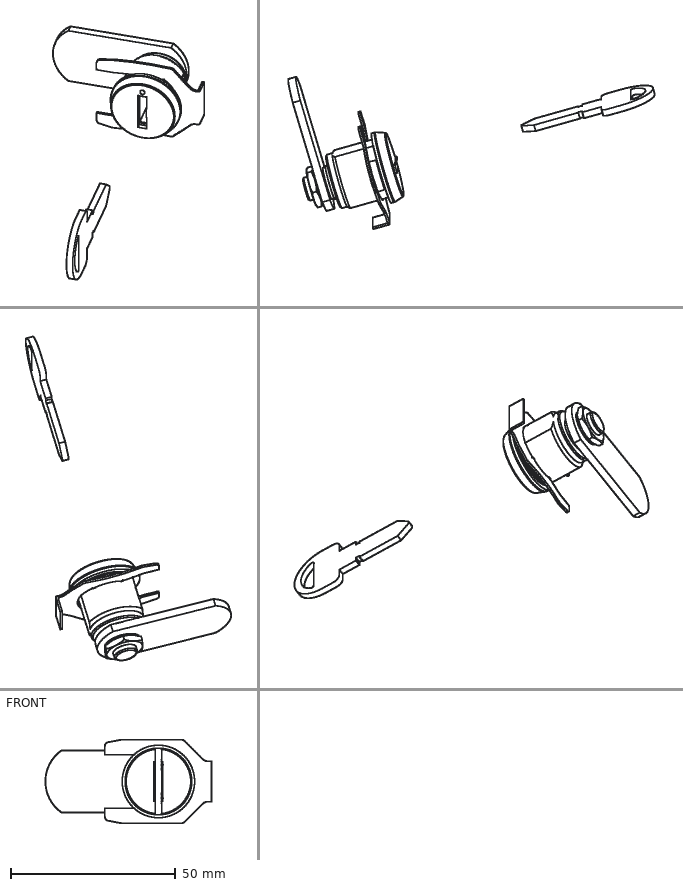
import cadquery as cq
import math


flange_radius = 11.0
flange_thickness = 1.0
body_radius = 9.5
body_half_flats = 8.4
body_cone_start = 12.3
body_cone_end = 13.1
rear_radius = 8.5
rear_end = 15.2
rear_chamfer = 0.4

cap_band = 0.3
cap_face_radius = 10.2
cap_edge_chamfer = 0.3
cap_edge_front = -4.3
cap_dome_rise = 0.5
dot_radius = 0.8
dot_height = 7.4
key_slot_width = 2.8
key_slot_height = 11.9

plug_radius = 5.3
plug_front = -3.2
plug_end = 16.2
neck_radius = 5.0
keyway_width = 2.4
keyway_height = 9.7
keyway_depth = 15.5
stud_radius = 3.6
stud_end = 24.0
stud_chamfer = 0.4

cam_front = 17.1
cam_thickness = 2.4
cam_back = cam_front + cam_thickness
cam_half_width = 9.5
cam_left = -34.4
cam_right = 8.0
cam_end_sagitta = 5.0

nut_across_corners = 13.1
nut_end = 22.2
nut_face_radius = 5.6
nut_face_thickness = 0.5
nut_chamfer = 0.4

clip_thickness = 0.7
clip_front = 1.9
clip_bow = 0.8
clip_bow_half_length = 11.3
clip_height = 25.5
clip_half_height = clip_height / 2
clip_half_opening = 8.2
clip_left = -16.3
clip_right = 16.2
clip_tip_round = 1.3
clip_tip_half_height = 12.0
clip_bevel_start = 7.1
clip_bevel_round = 1.1
tab_half_height = 6.2
tab_end = 7.3
tab_flare_radius = 2.4
clip_bend_radius = 0.5
notch_front = 0.3
notch_back = clip_front + clip_bow + clip_thickness

key_thickness = 2.0
key_tip_place = -44.6
key_tip_round = 1.1
key_taper_length = 4.6
blade_half_height = 4.1
key_notch_start = 18.1
key_notch_half_height = 3.5
shoulder_start = 19.3
shoulder_half_height = 5.1
bow_start = 25.4
bow_radius = 10.2
bow_corner_radius = 2.2
key_end = stud_end - 110.4
bow_centre = key_tip_place - key_end - bow_radius
key_hole_radius = 7.7
key_hole_offset = 3.1
key_hole_round = 0.7

SIN_45 = math.sin(math.radians(45))
VERSINE_45 = 1 - SIN_45


def turned(profile):
    """Revolve a closed profile of (radius, y) points about the lock axis."""
    return cq.Workplane("XY").polyline(profile).close().revolve(360, (0, 0, 0), (0, 1, 0))


def round_bar(radius, front, back):
    return cq.Workplane("XZ", origin=(0, back, 0)).circle(radius).extrude(back - front)


def block(width, height, front, back):
    """A block centred on the lock axis between two Y places."""
    return cq.Workplane("XZ", origin=(0, back, 0)).rect(width, height).extrude(back - front)


def make_housing():
    shell = turned([
        (0, -flange_thickness),
        (flange_radius, -flange_thickness),
        (flange_radius, 0),
        (body_radius, 0),
        (body_radius, body_cone_start),
        (rear_radius, body_cone_end),
        (rear_radius, rear_end - rear_chamfer),
        (rear_radius - rear_chamfer, rear_end),
        (0, rear_end),
    ])

    flat_depth = flange_radius - body_half_flats
    flat_middle = body_half_flats + flat_depth / 2
    notch_depth = flange_radius - clip_half_opening
    notch_middle = clip_half_opening + notch_depth / 2
    for side in (-1, 1):
        flat_cut = block(flat_depth, 2 * flange_radius, 0, rear_end)
        shell = shell.cut(flat_cut.translate((side * flat_middle, 0, 0)))
        notch_cut = block(2 * flange_radius, notch_depth, notch_front, notch_back)
        shell = shell.cut(notch_cut.translate((0, 0, side * notch_middle)))

    return shell.cut(round_bar(plug_radius, -flange_thickness, rear_end))


def make_cap():
    cap_back = -flange_thickness
    dome_tip = cap_edge_front - cap_dome_rise
    dome_edge_radius = cap_face_radius - cap_edge_chamfer
    cap = (
        cq.Workplane("XY")
        .moveTo(0, cap_back)
        .lineTo(flange_radius, cap_back)
        .lineTo(flange_radius, cap_back - cap_band)
        .lineTo(cap_face_radius, cap_edge_front + cap_edge_chamfer)
        .lineTo(dome_edge_radius, cap_edge_front)
        .threePointArc((dome_edge_radius / 2, dome_tip + cap_dome_rise / 4), (0, dome_tip))
        .close()
        .revolve(360, (0, 0, 0), (0, 1, 0))
    )
    index_dot = cq.Workplane("XY").sphere(dot_radius).translate((0, cap_edge_front, dot_height))
    key_slot = block(key_slot_width, key_slot_height, dome_tip, plug_front)
    plug_recess = round_bar(plug_radius, plug_front, cap_back)
    return cap.union(index_dot).cut(key_slot).cut(plug_recess)


def make_plug():
    plug = turned([
        (0, plug_front),
        (plug_radius, plug_front),
        (plug_radius, plug_end),
        (neck_radius, plug_end),
        (neck_radius, cam_front),
        (stud_radius, cam_front),
        (stud_radius, stud_end - stud_chamfer),
        (stud_radius - stud_chamfer, stud_end),
        (0, stud_end),
    ])
    return plug.cut(block(keyway_width, keyway_height, plug_front, plug_front + keyway_depth))


def make_cam():
    left_corner = cam_left + cam_end_sagitta
    right_corner = cam_right - cam_end_sagitta
    plate = (
        cq.Workplane("XZ", origin=(0, cam_back, 0))
        .moveTo(left_corner, cam_half_width)
        .threePointArc((cam_left, 0), (left_corner, -cam_half_width))
        .lineTo(right_corner, -cam_half_width)
        .threePointArc((cam_right, 0), (right_corner, cam_half_width))
        .close()
        .extrude(cam_thickness)
    )
    return plate.cut(round_bar(stud_radius, cam_front, cam_back))


def make_nut():
    hex_front = cam_back + nut_face_thickness
    corner_radius = nut_across_corners / 2
    hexagon = (
        cq.Workplane("XZ", origin=(0, nut_end, 0))
        .polygon(6, nut_across_corners)
        .extrude(nut_end - hex_front)
        .rotate((0, 0, 0), (0, 1, 0), 30)
    )
    chamfered_blank = turned([
        (0, hex_front),
        (nut_face_radius, hex_front),
        (corner_radius, hex_front + nut_chamfer),
        (corner_radius, nut_end - nut_chamfer),
        (nut_face_radius, nut_end),
        (0, nut_end),
    ])
    bearing_face = round_bar(nut_face_radius, cam_back, hex_front)
    nut = hexagon.intersect(chamfered_blank).union(bearing_face)
    return nut.cut(round_bar(stud_radius, cam_back, nut_end))


def make_clip():
    clip_back = clip_front + clip_thickness
    bow_front = clip_front + clip_bow
    bow_back = bow_front + clip_thickness

    strip = (
        cq.Workplane("XY", origin=(0, 0, -clip_half_height))
        .moveTo(clip_left, clip_front)
        .lineTo(-clip_bow_half_length, clip_front)
        .threePointArc((0, bow_front), (clip_bow_half_length, clip_front))
        .lineTo(clip_right - clip_bend_radius, clip_front)
        .radiusArc((clip_right, clip_front + clip_bend_radius), -clip_bend_radius)
        .lineTo(clip_right, tab_end)
        .lineTo(clip_right - clip_thickness, tab_end)
        .lineTo(clip_right - clip_thickness, clip_back)
        .lineTo(clip_bow_half_length, clip_back)
        .threePointArc((0, bow_back), (-clip_bow_half_length, clip_back))
        .lineTo(clip_left, clip_back)
        .close()
        .extrude(clip_height)
    )

    opening_corner = math.sqrt(body_radius**2 - clip_half_opening**2)
    bevel_x = clip_bevel_start + clip_bevel_round * SIN_45
    bevel_z = clip_half_height - clip_bevel_round * VERSINE_45
    flare_z = tab_half_height + tab_flare_radius * VERSINE_45
    flare_x = bevel_x + bevel_z - flare_z
    outline = (
        cq.Workplane("XZ", origin=(0, tab_end, 0))
        .moveTo(body_radius, 0)
        .radiusArc((opening_corner, clip_half_opening), -body_radius)
        .lineTo(clip_left, clip_half_opening)
        .lineTo(clip_left, clip_tip_half_height - clip_tip_round)
        .tangentArcPoint((clip_left + clip_tip_round, clip_tip_half_height), relative=False)
        .lineTo(-clip_bow_half_length, clip_half_height)
        .lineTo(clip_bevel_start, clip_half_height)
        .tangentArcPoint((bevel_x, bevel_z), relative=False)
        .lineTo(flare_x, flare_z)
        .tangentArcPoint((flare_x + tab_flare_radius * SIN_45, tab_half_height), relative=False)
        .lineTo(clip_right, tab_half_height)
        .lineTo(clip_right, 0)
        .mirrorX()
        .extrude(tab_end)
    )
    return strip.intersect(outline)


def make_key():
    taper_angle = math.atan2(blade_half_height, key_taper_length)
    tangent_x = key_tip_round - key_tip_round * math.sin(taper_angle)
    tangent_z = key_tip_round * math.cos(taper_angle)
    point_x = tangent_x - tangent_z / math.tan(taper_angle)
    plane = cq.Plane(
        origin=(key_thickness / 2, key_tip_place, 0),
        xDir=(0, -1, 0),
        normal=(-1, 0, 0),
    )
    half_taper = (math.pi / 2 + taper_angle) / 2
    arc_middle = (
        key_tip_round - key_tip_round * math.sin(half_taper),
        key_tip_round * math.cos(half_taper),
    )
    bow_middle = (bow_centre + bow_radius * SIN_45, bow_radius * SIN_45)
    key = (
        cq.Workplane(plane)
        .moveTo(0, 0)
        .threePointArc(arc_middle, (tangent_x, tangent_z))
        .lineTo(point_x + key_taper_length, blade_half_height)
        .lineTo(key_notch_start, blade_half_height)
        .lineTo(key_notch_start, key_notch_half_height)
        .lineTo(shoulder_start, key_notch_half_height)
        .lineTo(shoulder_start, shoulder_half_height)
        .lineTo(bow_start, shoulder_half_height)
        .lineTo(bow_start, bow_radius - bow_corner_radius)
        .tangentArcPoint((bow_start + bow_corner_radius, bow_radius), relative=False)
        .lineTo(bow_centre, bow_radius)
        .threePointArc(bow_middle, (bow_centre + bow_radius, 0))
        .mirrorX()
        .extrude(key_thickness)
    )

    chord_half = math.sqrt(key_hole_radius**2 - key_hole_offset**2)
    chord_x = bow_centre + key_hole_offset
    hole = (
        cq.Workplane(plane)
        .moveTo(chord_x, -chord_half)
        .threePointArc((bow_centre + key_hole_radius, 0), (chord_x, chord_half))
        .close()
        .extrude(key_thickness)
        .edges("|X")
        .fillet(key_hole_round)
    )
    return key.cut(hole)


housing = make_housing()
cap = make_cap()
plug = make_plug()
cam = make_cam()
nut = make_nut()
clip = make_clip()
key = make_key()

result = cq.Compound.makeCompound([
    housing.val(),
    cap.val(),
    plug.val(),
    cam.val(),
    nut.val(),
    clip.val(),
    key.val(),
])